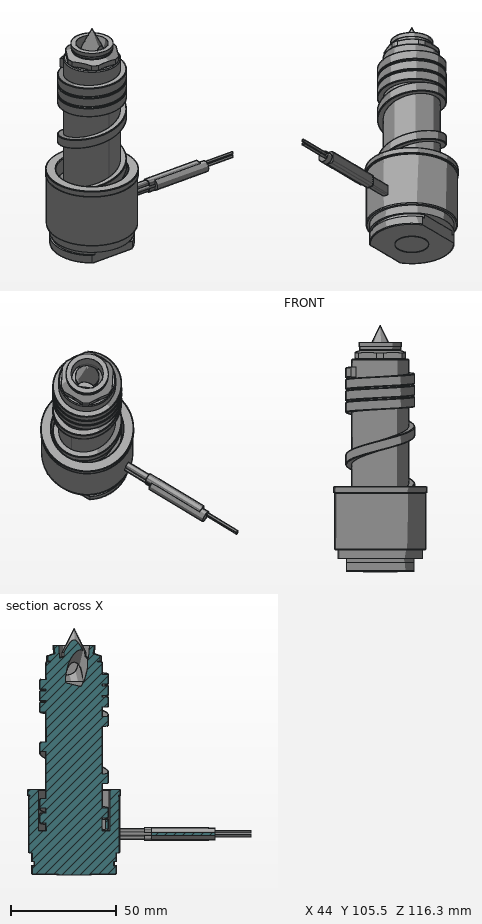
import cadquery as cq
import math


pad_radius = 8.0
pad_height = 0.3
nut_radius = 20.0
nut_edge_chamfer = 0.4
nut_neck_radius = 19.0
nut_top_z = 4.5
nut_neck_top_z = 6.3
nut_across_flats = 32.0

spigot_radius = 20.0
housing_bottom_z = 10.4
housing_radius = 21.6
housing_bottom_chamfer = 0.5
flange_groove_radius = 21.2
flange_groove_bottom_z = 37.1
flange_bottom_z = 37.6
flange_radius = 22.0
flange_chamfer = 0.35
housing_top_z = 40.4
bore_radius = 17.0
bore_chamfer = 0.4

barrel_radius = 13.5
barrel_top_z = 100.6
barrel_chamfer = 0.5
hex_across_flats = 24.0
hex_corner_radius = 13.0
hex_gap = 0.2
hex_gap_radius = 11.5
hex_chamfer_bottom_z = 103.3
hex_top_z = 104.6
neck_radius = 9.4
neck_band_radius = 9.7
neck_band_bottom_z = 105.1
ring_bottom_z = 106.3
ring_top_z = 108.4
ring_radius = 10.0
cup_top_radius = 7.6
cup_floor_radius = 7.2

tip_z = 116.3
tip_half_angle = 26.5
tip_base_radius = 5.6
tip_base_z = tip_z - tip_base_radius / math.tan(math.radians(tip_half_angle))
shoulder_slope = 20.0
tip_stem_height = 2.0
tip_stem_bottom_z = tip_base_z - tip_stem_height
cup_floor_z = tip_stem_bottom_z - (cup_floor_radius - tip_base_radius) * math.tan(math.radians(shoulder_slope))
port_radius = 4.6
port_direction = 25.0
port_tilt = 30.0
port_offset = 8.0

coil_outer_radius = 16.3
coil_embed = 0.5
coil_height = 4.8
coil_chamfer = 0.35
close_pitch = 5.4
open_pitch = 27.0
coil_end_angle = 211.7 + 3 * 360.0
coil_end_z = 94.4
upper_bend_angle = 142.0
lower_bend_angle = -460.0
bend_half_span = 55.0
lower_turns = 1.5
coil_floor_gap = 0.5
coil_start_angle = lower_bend_angle - lower_turns * 360.0

cable_z = 19.4
cable_x = -1.35
cable_width = 2.9
cable_height = 5.3
cable_fillet = 0.6
lead_radius = 1.0
sleeve_width = 4.1
sleeve_height = 6.1
sleeve_fillet = 1.0
sleeve_start_y = 33.2
sleeve_length = 30.3
tube_radius = 2.75
tube_start_y = 36.5
tube_end_y = 66.6
wire_radius = 0.6
wire_spacing = 1.9
wire_end_y = 83.5
cable_root_y = (bore_radius + housing_radius) / 2


def revolve_profile(points):
    """Turn an (r, z) outline about the Z axis."""
    return cq.Workplane("XZ").polyline(points).close().revolve(360, (0, 0, 0), (0, 1, 0))


def disc(radius, bottom_z, top_z):
    return cq.Workplane("XY").workplane(offset=bottom_z).circle(radius).extrude(top_z - bottom_z)


def clamp_nut():
    nut = disc(nut_radius, pad_height, nut_top_z).faces("<Z").chamfer(nut_edge_chamfer)
    nut = nut.union(disc(nut_neck_radius, nut_top_z, nut_neck_top_z))
    flats = cq.Workplane("XY").box(nut_across_flats, 2 * nut_radius, 2 * nut_neck_top_z)
    return nut.intersect(flats).union(disc(pad_radius, 0, pad_height))


def coil_rise(angle):
    """Height gained from angle 0 at open pitch, bending smoothly to close pitch at both ends."""
    open_slope = open_pitch / 360.0
    slope_change = (close_pitch - open_pitch) / 360.0

    def bend(past):
        """Ramp that is zero before a bend, the angle past it afterwards, and a parabola between."""
        if past <= -bend_half_span:
            return 0.0
        if past >= bend_half_span:
            return past
        return (past + bend_half_span) ** 2 / (4 * bend_half_span)

    upper = bend(angle - upper_bend_angle)
    lower = bend(lower_bend_angle - angle)
    return open_slope * angle + slope_change * (upper - lower)


def coil_centre_z(angle):
    return coil_end_z + coil_rise(angle) - coil_rise(coil_end_angle)


bore_floor_z = coil_centre_z(coil_start_angle) - coil_height / 2 - coil_floor_gap


def coil_edge(radius, height_offset):
    """Helical edge of the coil at a radius, above or below the coil centre line."""
    points_per_turn = 24
    sweep_angle = coil_end_angle - coil_start_angle
    count = round(sweep_angle / 360.0 * points_per_turn)
    points = []
    for i in range(count + 1):
        angle = coil_start_angle + sweep_angle * i / count
        turn = math.radians(angle)
        z = coil_centre_z(angle) + height_offset
        points.append(cq.Vector(radius * math.cos(turn), radius * math.sin(turn), z))
    return cq.Edge.makeSpline(points)


def heater_coil():
    """Flat strip with chamfered outer edges, wound on the barrel, its inner side sunk into the barrel surface."""
    inner_radius = barrel_radius - coil_embed
    half = coil_height / 2
    corners = [
        (inner_radius, -half),
        (coil_outer_radius - coil_chamfer, -half),
        (coil_outer_radius, coil_chamfer - half),
        (coil_outer_radius, half - coil_chamfer),
        (coil_outer_radius - coil_chamfer, half),
        (inner_radius, half),
    ]
    edges = [coil_edge(radius, offset) for radius, offset in corners]
    faces = [cq.Face.makeRuledSurface(edges[i - 1], edges[i]) for i in range(len(edges))]
    for end_points in ([e.startPoint() for e in edges], [e.endPoint() for e in edges]):
        faces.append(cq.Face.makeFromWires(cq.Wire.makePolygon(end_points, close=True)))
    return cq.Workplane(cq.Solid.makeSolid(cq.Shell.makeShell(faces)).fix())


def housing():
    outline = [
        (0, nut_neck_top_z),
        (spigot_radius, nut_neck_top_z),
        (spigot_radius, housing_bottom_z),
        (housing_radius - housing_bottom_chamfer, housing_bottom_z),
        (housing_radius, housing_bottom_z + housing_bottom_chamfer),
        (housing_radius, flange_groove_bottom_z),
        (flange_groove_radius, flange_groove_bottom_z),
        (flange_groove_radius, flange_bottom_z),
        (flange_radius, flange_bottom_z),
        (flange_radius, housing_top_z - flange_chamfer),
        (flange_radius - flange_chamfer, housing_top_z),
        (bore_radius + bore_chamfer, housing_top_z),
        (bore_radius, housing_top_z - bore_chamfer),
        (bore_radius, bore_floor_z),
        (0, bore_floor_z),
    ]
    return revolve_profile(outline)


def barrel():
    return disc(barrel_radius, nut_neck_top_z, barrel_top_z).faces(">Z").chamfer(barrel_chamfer)


def hexagon():
    hex_bottom_z = barrel_top_z + hex_gap
    corner_diameter = hex_across_flats / math.cos(math.radians(30))
    prism = (
        cq.Workplane("XY")
        .workplane(offset=hex_bottom_z)
        .polygon(6, corner_diameter)
        .extrude(hex_top_z - hex_bottom_z)
        .rotate((0, 0, 0), (0, 0, 1), 30)
    )
    envelope = revolve_profile([
        (0, hex_bottom_z),
        (hex_corner_radius, hex_bottom_z),
        (hex_corner_radius, hex_chamfer_bottom_z),
        (neck_radius, hex_top_z),
        (0, hex_top_z),
    ])
    return prism.intersect(envelope).union(disc(hex_gap_radius, barrel_top_z, hex_bottom_z))


def ring():
    """Necked ring on top of the hexagon, still without its bore."""
    return revolve_profile([
        (0, hex_top_z),
        (neck_radius, hex_top_z),
        (neck_radius, neck_band_bottom_z),
        (neck_band_radius, neck_band_bottom_z),
        (neck_band_radius, ring_bottom_z),
        (ring_radius, ring_bottom_z),
        (ring_radius, ring_top_z),
        (0, ring_top_z),
    ])


def cup():
    """Slightly tapered bore through the ring into the hexagon, with a domed conical floor."""
    return revolve_profile([
        (0, tip_stem_bottom_z),
        (tip_base_radius, tip_stem_bottom_z),
        (cup_floor_radius, cup_floor_z),
        (cup_top_radius, ring_top_z),
        (0, ring_top_z),
    ])


def tip():
    """Pointed cone on a short stem, standing on the cup floor."""
    return revolve_profile([
        (0, tip_stem_bottom_z),
        (tip_base_radius, tip_stem_bottom_z),
        (tip_base_radius, tip_base_z),
        (0, tip_z),
    ])


def melt_port(direction):
    """Slanted hole from the axis up through the tip, leaning outwards and kept inside the cup wall."""
    lean = math.radians(port_tilt)
    turn = math.radians(direction)
    axis = cq.Vector(
        math.sin(lean) * math.cos(turn), math.sin(lean) * math.sin(turn), math.cos(lean)
    )
    foot = cq.Vector(0, 0, tip_base_z - port_offset / math.tan(lean))
    length = port_offset / math.sin(lean) + port_radius
    hole = cq.Workplane(cq.Solid.makeCylinder(port_radius, length, foot, axis))
    return hole.intersect(disc(cup_floor_radius, 0, tip_z))


def along_y(start_y, x, z):
    """Workplane facing +Y; its local x runs along -X and its local y along Z."""
    return cq.Workplane(cq.Plane(origin=(x, start_y, z), xDir=(-1, 0, 0), normal=(0, 1, 0)))


def cable():
    flat = (
        along_y(cable_root_y, cable_x, cable_z)
        .rect(cable_width, cable_height)
        .extrude(sleeve_start_y - cable_root_y)
        .edges("|Y")
        .fillet(cable_fillet)
    )
    sleeve = (
        along_y(sleeve_start_y, cable_x, cable_z)
        .rect(sleeve_width, sleeve_height)
        .extrude(sleeve_length)
        .edges("|Y")
        .fillet(sleeve_fillet)
    )
    lead = along_y(cable_root_y, 0, cable_z).circle(lead_radius).extrude(tube_start_y - cable_root_y)
    tube = along_y(tube_start_y, 0, cable_z).circle(tube_radius).extrude(tube_end_y - tube_start_y)
    wires = (
        along_y(tube_end_y, cable_x, cable_z)
        .pushPoints([(0, -wire_spacing / 2), (0, wire_spacing / 2)])
        .circle(wire_radius)
        .extrude(wire_end_y - tube_end_y)
    )
    return flat.union(sleeve).union(lead).union(tube).union(wires)


nozzle_head = barrel().union(hexagon()).union(ring()).cut(cup()).union(tip())
for side in (0, 180):
    nozzle_head = nozzle_head.cut(melt_port(port_direction + side))

result = clamp_nut().union(housing()).union(nozzle_head).union(heater_coil()).union(cable())